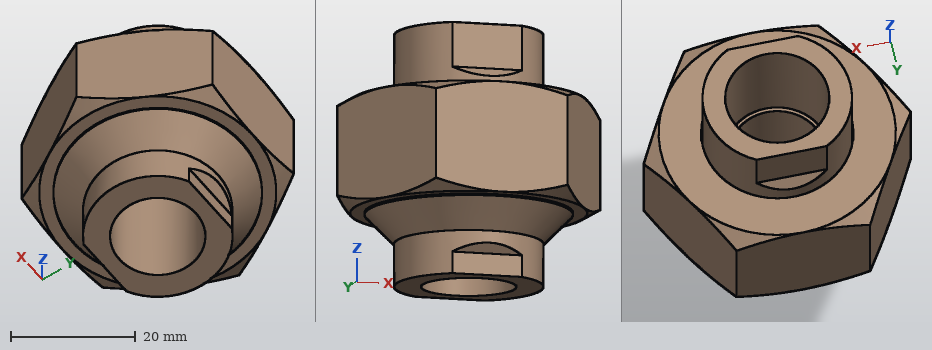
import cadquery as cq
import math

NUT_CORNER_WIDTH = 43.9
TOTAL_HEIGHT = 41.0

NUT_BOTTOM = 12.02
NUT_TOP = 30.0
NUT_CHAMFER_ANGLE = 30.0
LIP_THICKNESS = 3.05
LIP_CLEARANCE = 0.2

PIPE_RADIUS = 12.0
FLAT_HALF_WIDTH = 10.5
UPPER_FLAT_LENGTH = 7.3
LOWER_FLAT_LENGTH = 3.5
UPPER_BORE_RADIUS = 8.35
LOWER_BORE_RADIUS = 7.65

CONE_BOTTOM = 6.98
CONE_TOP = 11.75
HEAD_RADIUS = 16.7
FLANGE_THICKNESS = 3.05

NUT_CORNER_RADIUS = NUT_CORNER_WIDTH / 2
NUT_FLAT_RADIUS = NUT_CORNER_RADIUS * math.cos(math.radians(30))
NUT_CHAMFER_DROP = (NUT_CORNER_RADIUS - NUT_FLAT_RADIUS) * math.tan(math.radians(NUT_CHAMFER_ANGLE))
LIP_BOTTOM = NUT_TOP - LIP_THICKNESS
SEAM_HEIGHT = LIP_BOTTOM - FLANGE_THICKNESS
FLAT_DEPTH = PIPE_RADIUS - FLAT_HALF_WIDTH


def revolve_profile(points):
    """Turn a closed (radius, height) outline about the Z axis."""
    return cq.Workplane("XZ").polyline(points).close().revolve(360, (0, 0), (0, 1))


def cut_wrench_flats(body, end_height, flat_length, inward):
    """Cut two opposite flats from a pipe end, each running out at 45 degrees.

    inward is the Z direction from the pipe end into the body, +1 or -1.
    """
    flat_end = end_height + inward * flat_length
    runout_end = flat_end + inward * FLAT_DEPTH
    for side in (-1, 1):
        cutter = (
            cq.Workplane("YZ")
            .polyline([
                (side * FLAT_HALF_WIDTH, end_height),
                (side * FLAT_HALF_WIDTH, flat_end),
                (side * PIPE_RADIUS, runout_end),
                (side * PIPE_RADIUS, end_height),
            ])
            .close()
            .extrude(PIPE_RADIUS, both=True)
        )
        body = body.cut(cutter)
    return body


def make_nut():
    """Hexagonal nut with chamfered corners, a top lip and a wide lower bore."""
    hexagon = (
        cq.Workplane("XY", origin=(0, 0, NUT_BOTTOM))
        .polygon(6, NUT_CORNER_WIDTH)
        .extrude(NUT_TOP - NUT_BOTTOM)
    )
    lip_radius = PIPE_RADIUS + LIP_CLEARANCE
    chamfered_ring = revolve_profile([
        (HEAD_RADIUS, NUT_BOTTOM),
        (NUT_FLAT_RADIUS, NUT_BOTTOM),
        (NUT_CORNER_RADIUS, NUT_BOTTOM + NUT_CHAMFER_DROP),
        (NUT_CORNER_RADIUS, NUT_TOP - NUT_CHAMFER_DROP),
        (NUT_FLAT_RADIUS, NUT_TOP),
        (lip_radius, NUT_TOP),
        (lip_radius, LIP_BOTTOM),
        (HEAD_RADIUS, LIP_BOTTOM),
    ])
    return hexagon.intersect(chamfered_ring)


def make_upper_body():
    """Upper pipe end, with the flange that the nut lip pulls down."""
    body = revolve_profile([
        (UPPER_BORE_RADIUS, SEAM_HEIGHT),
        (HEAD_RADIUS, SEAM_HEIGHT),
        (HEAD_RADIUS, LIP_BOTTOM),
        (PIPE_RADIUS, LIP_BOTTOM),
        (PIPE_RADIUS, TOTAL_HEIGHT),
        (UPPER_BORE_RADIUS, TOTAL_HEIGHT),
    ])
    return cut_wrench_flats(body, TOTAL_HEIGHT, UPPER_FLAT_LENGTH, -1)


def make_lower_body():
    """Lower pipe end, flaring through a cone to the head inside the nut."""
    body = revolve_profile([
        (LOWER_BORE_RADIUS, 0),
        (PIPE_RADIUS, 0),
        (PIPE_RADIUS, CONE_BOTTOM),
        (HEAD_RADIUS, CONE_TOP),
        (HEAD_RADIUS, SEAM_HEIGHT),
        (LOWER_BORE_RADIUS, SEAM_HEIGHT),
    ])
    return cut_wrench_flats(body, 0, LOWER_FLAT_LENGTH, 1)


nut = make_nut()
upper_body = make_upper_body()
lower_body = make_lower_body()

result = cq.Compound.makeCompound([nut.val(), upper_body.val(), lower_body.val()])